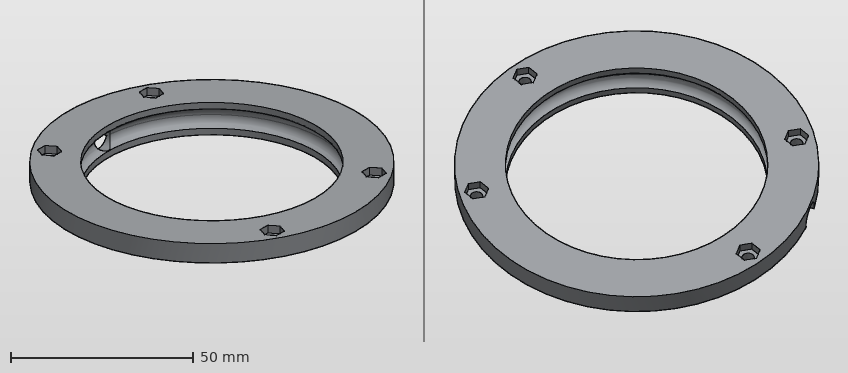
import cadquery as cq

flange_diameter = 100.0
spigot_diameter = 80.0
bore_diameter = 72.0
total_height = 10.0
spigot_height = 4.0

race_section_diameter = 6.0
race_centre_radius = 35.5
race_height = total_height / 2
loading_hole_diameter = 7.5
loading_hole_tip_diameter = 5.8

screw_spacing_x = 78.0
screw_spacing_y = 45.0
screw_hole_diameter = 3.4
nut_across_corners = 6.7
nut_pocket_depth = 2.4


def make_stepped_ring():
    flange_height = total_height - spigot_height
    spigot = cq.Workplane("XY").circle(spigot_diameter / 2).extrude(spigot_height)
    flange = (
        cq.Workplane("XY")
        .workplane(offset=spigot_height)
        .circle(flange_diameter / 2)
        .extrude(flange_height)
    )
    bore = cq.Workplane("XY").circle(bore_diameter / 2).extrude(total_height)
    return spigot.union(flange).cut(bore)


def make_ball_race():
    """Ring of circular section, centred slightly inside the bore."""
    return (
        cq.Workplane("XZ")
        .center(race_centre_radius, race_height)
        .circle(race_section_diameter / 2)
        .revolve(360, (-race_centre_radius, 0), (-race_centre_radius, 1))
    )


def make_loading_hole():
    """Radial hole from the -X rim, straight through the flange overhang, then tapering to the bore."""
    rim_radius = flange_diameter / 2
    taper_start_radius = spigot_diameter / 2
    tip_radius = bore_diameter / 2
    half_section = (
        cq.Workplane("XY")
        .workplane(offset=race_height)
        .moveTo(-rim_radius, 0)
        .lineTo(-rim_radius, loading_hole_diameter / 2)
        .lineTo(-taper_start_radius, loading_hole_diameter / 2)
        .lineTo(-tip_radius, loading_hole_tip_diameter / 2)
        .lineTo(-tip_radius, 0)
        .close()
    )
    return half_section.revolve(360, (0, 0), (1, 0))


def make_screw_cuts():
    centres = cq.Workplane("XY").rect(screw_spacing_x, screw_spacing_y, forConstruction=True).vertices()
    holes = centres.circle(screw_hole_diameter / 2).extrude(total_height)
    pocket_floor = total_height - nut_pocket_depth
    corner_towards_y = 90
    pocket = (
        cq.Workplane("XY")
        .workplane(offset=pocket_floor)
        .transformed(rotate=(0, 0, corner_towards_y))
        .rect(screw_spacing_y, screw_spacing_x, forConstruction=True)
        .vertices()
        .polygon(6, nut_across_corners)
        .extrude(nut_pocket_depth)
    )
    return holes.union(pocket)


result = (
    make_stepped_ring()
    .cut(make_ball_race())
    .cut(make_loading_hole())
    .cut(make_screw_cuts())
)